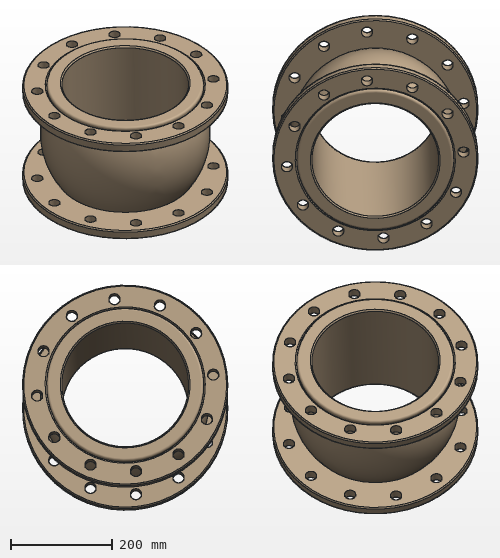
import cadquery as cq

overall_height = 240.0
bore_diameter = 250.0
bore_chamfer = 3.0

sphere_radius = 167.5

flange_diameter = 405.0
flange_thickness = 20.0
flange_edge_chamfer = 2.5

face_diameter = 310.0
face_height = 5.0
face_edge_radius = face_height
groove_width = 3.0

bolt_count = 12
bolt_hole_diameter = 22.0
bolt_circle_diameter = 350.0
bolt_start_angle = 180.0 / bolt_count

half_height = overall_height / 2
flange_outer_z = half_height - face_height
flange_inner_z = flange_outer_z - flange_thickness


def make_body():
    """Sphere cut flat at the mid-planes of both flanges."""
    body_height = 2 * flange_outer_z - flange_thickness
    limits = cq.Workplane("XY").circle(flange_diameter / 2).extrude(body_height / 2, both=True)
    return cq.Workplane("XY").sphere(sphere_radius).intersect(limits)


def make_bolt_holes():
    """Pins that cut the bolt holes of the upper flange."""
    return (
        cq.Workplane("XY")
        .workplane(offset=flange_inner_z)
        .polarArray(bolt_circle_diameter / 2, bolt_start_angle, 360, bolt_count)
        .circle(bolt_hole_diameter / 2)
        .extrude(flange_thickness)
    )


def make_face_groove():
    """Ring that cuts the V groove between the sealing face and the flange."""
    face_radius = face_diameter / 2
    return (
        cq.Workplane("XZ")
        .moveTo(face_radius, flange_outer_z - groove_width)
        .lineTo(face_radius + groove_width, flange_outer_z)
        .lineTo(face_radius, flange_outer_z)
        .close()
        .revolve(360, (0, 0, 0), (0, 1, 0))
    )


def make_sealing_face():
    """Raised ring with a quarter-round outer edge."""
    face_radius = face_diameter / 2
    return (
        cq.Workplane("XZ")
        .moveTo(0, flange_outer_z)
        .lineTo(face_radius, flange_outer_z)
        .radiusArc((face_radius - face_edge_radius, half_height), -face_edge_radius)
        .lineTo(0, half_height)
        .close()
        .revolve(360, (0, 0, 0), (0, 1, 0))
    )


def make_upper_flange():
    """Drilled flange with its sealing face."""
    plate = (
        cq.Workplane("XY")
        .workplane(offset=flange_inner_z)
        .circle(flange_diameter / 2)
        .extrude(flange_thickness)
        .edges()
        .chamfer(flange_edge_chamfer)
    )
    plate = plate.cut(make_bolt_holes()).cut(make_face_groove())
    return plate.union(make_sealing_face())


def make_bore():
    """Through bore, widened by a chamfer at both ends."""
    bore_radius = bore_diameter / 2
    return (
        cq.Workplane("XZ")
        .moveTo(0, -half_height)
        .lineTo(bore_radius + bore_chamfer, -half_height)
        .lineTo(bore_radius, -half_height + bore_chamfer)
        .lineTo(bore_radius, half_height - bore_chamfer)
        .lineTo(bore_radius + bore_chamfer, half_height)
        .lineTo(0, half_height)
        .close()
        .revolve(360, (0, 0, 0), (0, 1, 0))
    )


upper_flange = make_upper_flange()
lower_flange = upper_flange.mirror("XY")
result = make_body().union(upper_flange).union(lower_flange).cut(make_bore())